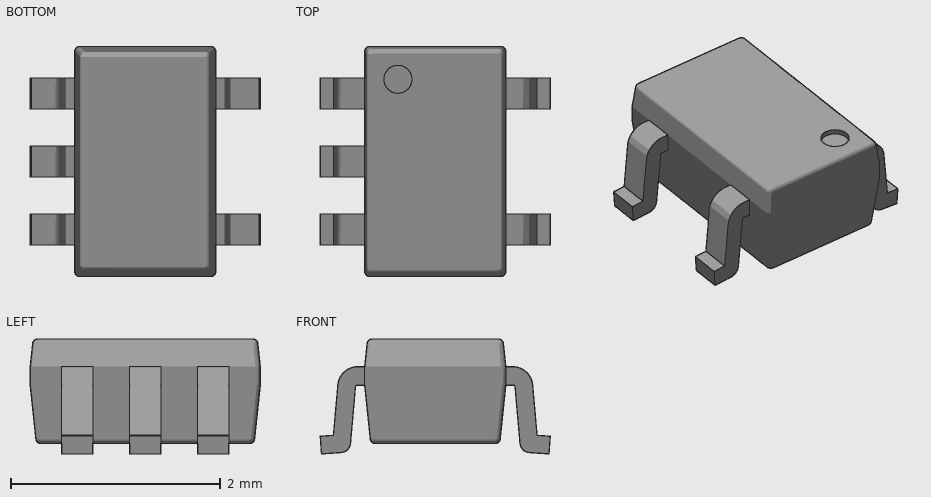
import cadquery as cq
import math


body_width = 1.35
body_length = 2.2
body_top = 1.1
body_bottom = 0.1
belt_top = 0.835
draft_angle = 6.0
edge_radius = 0.05

dimple_diameter = 0.268
dimple_depth = 0.05
dimple_x = -0.356
dimple_y = 0.785

lead_span = 2.2
arm_thickness = 0.18
leg_thickness = 0.172
lead_width = 0.3
lead_pitch = 0.65
shoulder_start = 0.74
shoulder_radius = 0.194
armpit_radius = 0.01
heel_radius = 0.1
leg_tilt = math.radians(5.0)
foot_tilt = math.radians(4.0)

belt_bottom = belt_top - arm_thickness

left_lead_places = [-lead_pitch, 0, lead_pitch]
right_lead_places = [-lead_pitch, lead_pitch]


def drafted_half(start, end):
    """Part of the body that narrows from the belt edge at start to the face at end."""
    base = cq.Workplane("XY").workplane(offset=start)
    return base.rect(body_width, body_length).extrude(end - start, taper=draft_angle)


def make_body():
    belt = cq.Workplane("XY").workplane(offset=belt_bottom)
    body = belt.rect(body_width, body_length).extrude(arm_thickness)
    body = body.union(drafted_half(belt_top, body_top))
    body = body.union(drafted_half(belt_bottom, body_bottom))

    body = body.edges("not(|X or |Y)").fillet(edge_radius)
    return body.faces("<Z or >Z").edges().fillet(edge_radius)


def make_dimple():
    floor = cq.Workplane("XY").workplane(offset=body_top - dimple_depth)
    return floor.center(dimple_x, dimple_y).circle(dimple_diameter / 2).extrude(dimple_depth)


def leg_meets_foot(leg_point, foot_point):
    """Crossing of the leg line through leg_point and the foot line through foot_point."""
    leg_spread = math.tan(leg_tilt)
    foot_slope = math.tan(foot_tilt)
    run = foot_point[0] - leg_point[0]
    fall = leg_point[1] - foot_point[1]
    drop = (fall - run * foot_slope) / (1 - leg_spread * foot_slope)
    return leg_point[0] + drop * leg_spread, leg_point[1] - drop


def make_right_lead():
    """Lead leaving the body towards +X, centred on Y = 0."""
    bend_setback = shoulder_radius * math.tan((math.pi / 2 - leg_tilt) / 2)
    shoulder = (shoulder_start + bend_setback, belt_top)
    leg_width_along_x = leg_thickness / math.cos(leg_tilt)
    leg_drift = arm_thickness * math.tan(leg_tilt)
    armpit = (shoulder[0] + leg_drift - leg_width_along_x, belt_bottom)

    tip_top = (lead_span / 2, leg_thickness * math.cos(foot_tilt))
    tip_sole = (lead_span / 2 - leg_thickness * math.sin(foot_tilt), 0)
    instep = leg_meets_foot(shoulder, tip_top)
    heel = leg_meets_foot(armpit, tip_sole)

    outline = [
        (0, belt_top),
        shoulder,
        instep,
        tip_top,
        tip_sole,
        heel,
        armpit,
        (0, belt_bottom),
    ]
    lead = cq.Workplane("XZ").polyline(outline).close().extrude(lead_width / 2, both=True)

    bends = [
        (shoulder, shoulder_radius),
        (armpit, armpit_radius),
        (heel, heel_radius),
    ]
    for (x, z), radius in bends:
        lead = lead.edges(cq.selectors.NearestToPointSelector((x, 0, z))).fillet(radius)
    return lead


right_lead = make_right_lead()
left_lead = right_lead.mirror("YZ")

result = make_body()
for y in left_lead_places:
    result = result.union(left_lead.translate((0, y, 0)))
for y in right_lead_places:
    result = result.union(right_lead.translate((0, y, 0)))
result = result.cut(make_dimple())